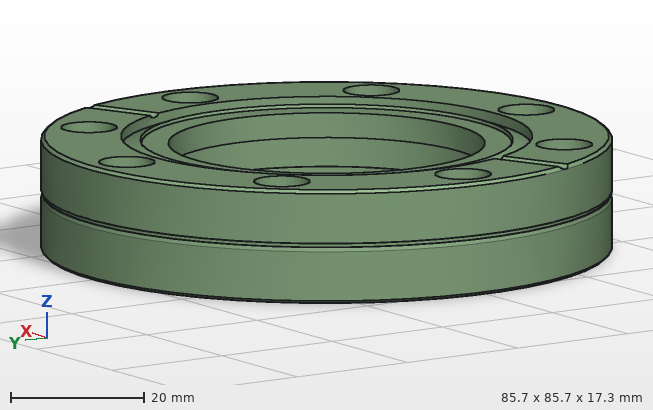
import cadquery as cq
import math

outer_radius = 42.85
height = 17.3
top_chamfer = 0.5
bottom_chamfer = 0.4

rim_groove_top = 9.2
rim_groove_bottom = 8.6
rim_groove_depth = 0.3
rim_groove_chamfer_height = 0.6
rim_groove_chamfer_width = 0.2

recess_radius = 30.85
knife_radius = 27.9
knife_depth = 0.6
knife_slope = math.radians(20)
seal_floor_depth = 1.1
seal_floor_radius = 27.8

bore_radius = 23.7
socket_radius = 25.5
socket_height = 12.4
entry_radius = 25.7
entry_height = 7.6

bolt_count = 8
bolt_circle_radius = 36.25
bolt_hole_radius = 4.2

leak_groove_width = 2.4
leak_groove_depth = 0.5
leak_groove_angle = 180 / bolt_count


def flange_ring():
    """Revolve the half section of the ring about Z."""
    knife_z = height - knife_depth
    recess_floor_z = knife_z - (recess_radius - knife_radius) * math.tan(knife_slope)
    seal_floor_z = height - seal_floor_depth
    groove_radius = outer_radius - rim_groove_depth
    section = [
        (entry_radius, 0),
        (outer_radius - bottom_chamfer, 0),
        (outer_radius, bottom_chamfer),
        (outer_radius, rim_groove_bottom - rim_groove_chamfer_height),
        (outer_radius - rim_groove_chamfer_width, rim_groove_bottom),
        (groove_radius, rim_groove_bottom),
        (groove_radius, rim_groove_top),
        (outer_radius, rim_groove_top),
        (outer_radius, height - top_chamfer),
        (outer_radius - top_chamfer, height),
        (recess_radius, height),
        (recess_radius, recess_floor_z),
        (knife_radius, knife_z),
        (seal_floor_radius, seal_floor_z),
        (bore_radius, seal_floor_z),
        (bore_radius, socket_height),
        (socket_radius, socket_height),
        (socket_radius, entry_height),
        (entry_radius, entry_height),
    ]
    return cq.Workplane("XZ").polyline(section).close().revolve(360, (0, 0), (0, 1))


def bolt_holes():
    return (
        cq.Workplane("XY")
        .polarArray(bolt_circle_radius, 0, 360, bolt_count)
        .circle(bolt_hole_radius)
        .extrude(height)
    )


def leak_groove(angle):
    """Round-bottomed radial groove running from the recess wall out through the rim."""
    half_width = leak_groove_width / 2
    radius = (half_width**2 + leak_groove_depth**2) / (2 * leak_groove_depth)
    start = (recess_radius + knife_radius) / 2
    axis_z = height - leak_groove_depth + radius
    groove = cq.Workplane("YZ", origin=(start, 0, axis_z)).circle(radius).extrude(outer_radius - start)
    return groove.rotate((0, 0, 0), (0, 0, 1), angle)


result = flange_ring().cut(bolt_holes())
for angle in (leak_groove_angle, leak_groove_angle + 180):
    result = result.cut(leak_groove(angle))